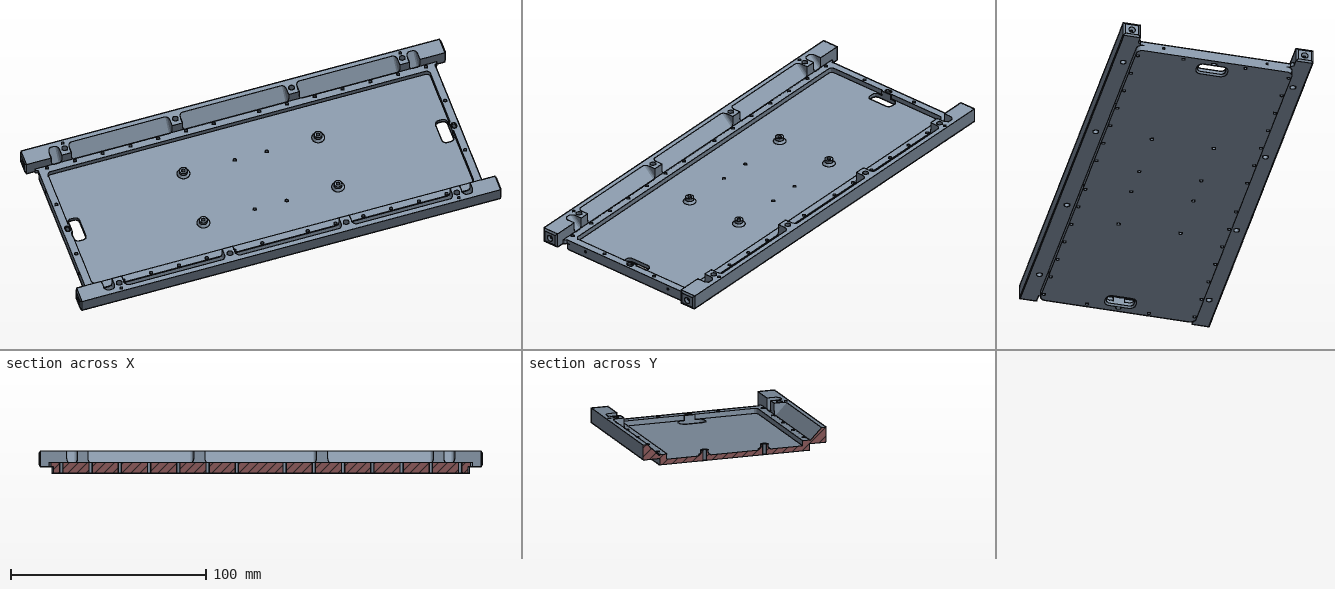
import cadquery as cq
import math

LENGTH = 227.0
WIDTH = 100.0
HEIGHT = 11.5

BEVEL_SLOPE = 45.0

RAIL_WIDTH = 9.0
RAIL_HEIGHT = 8.2
RAIL_BOTTOM = HEIGHT - RAIL_HEIGHT
RAIL_INNER_X = WIDTH / 2 - RAIL_WIDTH
RAIL_CENTRE_X = WIDTH / 2 - RAIL_WIDTH / 2
RAIL_LOWER_BEVEL = 0.5
END_BEVEL_INSET = 1.1
END_BEVEL_LENGTH = 0.7

END_HOLE_Z = RAIL_BOTTOM + RAIL_HEIGHT / 2 - 0.2
END_HOLE_DIAMETER = 1.1
END_HOLE_DEPTH = 6.8
END_HOLE_CONE_DIAMETER = 3.5

POCKET_EDGE_X = 47.5
POCKET_FILLET = 2.0
POCKET_SLOPE = 45.0
POCKET_SPANS = [(-99.5, -93.8), (-88.5, -34.3), (-28.5, 28.5), (34.3, 88.5), (93.8, 99.5)]

RAIL_HOLE_X = 44.7
RAIL_HOLE_DIAMETER = 3.0
RAIL_HOLE_Y = [31.3, 91.0]
PIN_HOLE_X = 48.1
PIN_HOLE_DIAMETER = 1.4
PIN_HOLE_DEPTH = 3.5

PLATE_LENGTH = 214.0
PLATE_WIDTH = 2 * RAIL_INNER_X
PLATE_TOP = 5.7
PLATE_CORNER_RADIUS = 3.2
JOINT_RADIUS = 1.4
TRAY_LENGTH = 206.1
TRAY_WIDTH = 74.0
TRAY_FLOOR = 3.0
TRAY_CORNER_RADIUS = 2.0

HAND_SLOT_WIDTH = 14.5
HAND_SLOT_DEPTH = 6.4
HAND_SLOT_OUTER_Y = 102.4
HAND_SLOT_RADIUS = 2.3
HAND_SLOT_BEVEL = 1.0

OVAL_Y = 104.2
OVAL_TOP_LENGTH = 3.6
OVAL_TOP_WIDTH = 2.7
OVAL_CONE_DEPTH = 0.5
LUG_WIDTH = 6.0

RIM_HOLE_X = 39.7
RIM_HOLE_FIRST_Y = 12.3
RIM_HOLE_PITCH = 15.0
RIM_HOLES_PER_QUARTER = 7
RIM_HOLE_DIAMETER = 1.5
SMALL_HOLE_X = 16.3
SMALL_HOLE_Y = [8.6, 104.9]
SMALL_HOLE_DIAMETER = 1.5

FACE_HOLE_X = 27.2
FACE_HOLE_Z = 3.5
FACE_HOLE_DIAMETER = 1.1
FACE_HOLE_DEPTH = 2.7

STANDOFF_X = 16.3
STANDOFF_Y = 36.3
STANDOFF_BASE_DIAMETER = 6.5
STANDOFF_DIAMETER = 4.0
STANDOFF_CONE_HEIGHT = 1.1
STANDOFF_HEIGHT = PLATE_TOP - TRAY_FLOOR
STANDOFF_HOLE_DIAMETER = 1.8


def block(x_size, y_size, z_low, z_high):
    """Upright block centred on the Z axis."""
    return cq.Workplane("XY", origin=(0, 0, z_low)).rect(x_size, y_size).extrude(z_high - z_low)


def four_ways(x, y):
    """The point (x, y) and its mirror images in both centre planes."""
    return [(sx * x, sy * y) for sx in (-1, 1) for sy in (-1, 1)]


def upright_cylinders(points, diameter, z_low, z_high):
    """Vertical cylinders at the given points."""
    plane = cq.Workplane("XY", origin=(0, 0, z_low))
    return plane.pushPoints(points).circle(diameter / 2).extrude(z_high - z_low)


def both_sides(solid):
    """A shape together with its mirror image across the YZ plane."""
    return solid.union(solid.mirror("YZ"))


def both_ends(solid):
    """A shape together with its mirror image across the XZ plane."""
    return solid.union(solid.mirror("XZ"))


def rail():
    """Plain +X rail with bevelled ends."""
    body_end_y = LENGTH / 2 - END_BEVEL_LENGTH
    body = block(RAIL_WIDTH, 2 * body_end_y, RAIL_BOTTOM, HEIGHT)
    end_taper = math.degrees(math.atan2(END_BEVEL_INSET, END_BEVEL_LENGTH))
    tip = (
        cq.Workplane("XZ", origin=(0, -body_end_y, RAIL_BOTTOM + RAIL_HEIGHT / 2))
        .rect(RAIL_WIDTH, RAIL_HEIGHT)
        .extrude(END_BEVEL_LENGTH, taper=end_taper)
    )
    return body.union(both_ends(tip)).translate((RAIL_CENTRE_X, 0, 0))


def rail_end_hole():
    """Hole with a conical mouth, bored into the -Y end of the +X rail."""
    cone_radius = END_HOLE_CONE_DIAMETER / 2
    bore_radius = END_HOLE_DIAMETER / 2
    profile = [
        (0, 0),
        (cone_radius, 0),
        (bore_radius, cone_radius - bore_radius),
        (bore_radius, END_HOLE_DEPTH),
        (0, END_HOLE_DEPTH),
    ]
    bore = cq.Workplane("XY").polyline(profile).close().revolve(360, (0, 0), (0, 1))
    return bore.translate((RAIL_CENTRE_X, -LENGTH / 2, END_HOLE_Z))


def rail_pocket(y_start, y_end):
    """Cutter with a flat floor that slopes down to the inner side and curves up at both ends."""
    reach = 2 * RAIL_WIDTH
    y_middle = (y_start + y_end) / 2
    cutter = cq.Workplane("XY").box(2 * reach, y_end - y_start, reach, centered=(True, True, False))
    cutter = cutter.edges("|X and <Z").fillet(POCKET_FILLET)
    cutter = cutter.rotate((0, 0, 0), (0, 1, 0), -POCKET_SLOPE)
    return cutter.translate((POCKET_EDGE_X, y_middle, HEIGHT))


def pocketed_rail():
    """The +X rail with a bevelled lower outer edge and its row of pockets."""
    bar = rail()
    bar = bar.edges("|Y and <Z and >X").chamfer(RAIL_LOWER_BEVEL)
    for y_start, y_end in POCKET_SPANS:
        bar = bar.cut(rail_pocket(y_start, y_end))
    return bar


def base_plate():
    """Plate with rounded outer corners."""
    return block(PLATE_WIDTH, PLATE_LENGTH, 0, PLATE_TOP).edges("|Z").fillet(PLATE_CORNER_RADIUS)


def joint_corners():
    """Square corners with a hollow fillet that join the plate to the rails."""
    half_width = PLATE_WIDTH / 2
    half_length = PLATE_LENGTH / 2
    corner = (
        cq.Workplane("XY", origin=(0, 0, RAIL_BOTTOM))
        .moveTo(half_width, half_length - PLATE_CORNER_RADIUS)
        .lineTo(half_width, half_length + JOINT_RADIUS)
        .radiusArc((half_width - JOINT_RADIUS, half_length), -JOINT_RADIUS)
        .lineTo(half_width - PLATE_CORNER_RADIUS, half_length)
        .lineTo(half_width - PLATE_CORNER_RADIUS, half_length - PLATE_CORNER_RADIUS)
        .close()
        .extrude(PLATE_TOP - RAIL_BOTTOM)
    )
    return both_ends(both_sides(corner))


def tray():
    """Recess in the plate, leaving a lug around each oval hole."""
    recess = block(TRAY_WIDTH, TRAY_LENGTH, TRAY_FLOOR, HEIGHT).edges("|Z").fillet(TRAY_CORNER_RADIUS)
    lug_length = TRAY_LENGTH / 2 - HAND_SLOT_OUTER_Y
    lug = block(LUG_WIDTH, lug_length, TRAY_FLOOR, HEIGHT)
    lug = lug.translate((0, HAND_SLOT_OUTER_Y + lug_length / 2, 0))
    return recess.cut(both_ends(lug))


def hand_slots():
    """Rounded slots through the tray floor, bevelled around the underside."""
    slot = block(HAND_SLOT_WIDTH, HAND_SLOT_DEPTH, 0, PLATE_TOP).edges("|Z").fillet(HAND_SLOT_RADIUS)
    bevel = (
        slot.faces("<Z")
        .wires()
        .toPending()
        .workplane()
        .offset2D(HAND_SLOT_BEVEL)
        .extrude(-HAND_SLOT_BEVEL, taper=BEVEL_SLOPE)
    )
    slot = slot.union(bevel)
    return both_ends(slot.translate((0, HAND_SLOT_OUTER_Y - HAND_SLOT_DEPTH / 2, 0)))


def oval_holes():
    """Oval through holes with a 45 degree countersink."""
    hole = cq.Workplane("XY", origin=(0, OVAL_Y, PLATE_TOP)).slot2D(OVAL_TOP_LENGTH, OVAL_TOP_WIDTH)
    cone = hole.extrude(-OVAL_CONE_DEPTH, taper=BEVEL_SLOPE)
    bore = (
        cq.Workplane("XY", origin=(0, OVAL_Y, 0))
        .slot2D(OVAL_TOP_LENGTH - 2 * OVAL_CONE_DEPTH, OVAL_TOP_WIDTH - 2 * OVAL_CONE_DEPTH)
        .extrude(PLATE_TOP)
    )
    return both_ends(cone.union(bore))


def standoffs():
    """Round posts on conical feet, level with the top of the plate."""
    base_radius = STANDOFF_BASE_DIAMETER / 2
    top_radius = STANDOFF_DIAMETER / 2
    profile = [
        (0, 0),
        (base_radius, 0),
        (top_radius, STANDOFF_CONE_HEIGHT),
        (top_radius, STANDOFF_HEIGHT),
        (0, STANDOFF_HEIGHT),
    ]
    standoff = cq.Workplane("XZ").polyline(profile).close().revolve(360, (0, 0), (0, 1))
    standoff = standoff.translate((STANDOFF_X, STANDOFF_Y, TRAY_FLOOR))
    return both_ends(both_sides(standoff))


def plate_holes():
    """Through holes in the rim, the tray floor and the standoffs."""
    holes = upright_cylinders(four_ways(STANDOFF_X, STANDOFF_Y), STANDOFF_HOLE_DIAMETER, 0, PLATE_TOP)
    for y in SMALL_HOLE_Y:
        holes = holes.union(
            upright_cylinders(four_ways(SMALL_HOLE_X, y), SMALL_HOLE_DIAMETER, 0, PLATE_TOP)
        )
    for index in range(RIM_HOLES_PER_QUARTER):
        y = RIM_HOLE_FIRST_Y + index * RIM_HOLE_PITCH
        holes = holes.union(upright_cylinders(four_ways(RIM_HOLE_X, y), RIM_HOLE_DIAMETER, 0, PLATE_TOP))
    return holes


def plate_end_holes():
    """Blind horizontal holes in the two end faces of the plate."""
    holes = (
        cq.Workplane("XZ", origin=(0, -PLATE_LENGTH / 2, 0))
        .pushPoints([(-FACE_HOLE_X, FACE_HOLE_Z), (FACE_HOLE_X, FACE_HOLE_Z)])
        .circle(FACE_HOLE_DIAMETER / 2)
        .extrude(-FACE_HOLE_DEPTH)
    )
    return both_ends(holes)


def rail_holes():
    """Through holes in the rails and the blind pin holes beside the outermost ones."""
    holes = upright_cylinders(
        four_ways(PIN_HOLE_X, RAIL_HOLE_Y[-1]), PIN_HOLE_DIAMETER, HEIGHT - PIN_HOLE_DEPTH, HEIGHT
    )
    for y in RAIL_HOLE_Y:
        holes = holes.union(upright_cylinders(four_ways(RAIL_HOLE_X, y), RAIL_HOLE_DIAMETER, 0, HEIGHT))
    return holes


rails = both_sides(pocketed_rail())
rails = rails.cut(rail_holes())
rails = rails.cut(both_ends(both_sides(rail_end_hole())))

plate = base_plate().union(joint_corners())
plate = plate.cut(tray())
plate = plate.union(standoffs())
plate = plate.cut(hand_slots())
plate = plate.cut(oval_holes())
plate = plate.cut(plate_holes())
plate = plate.cut(plate_end_holes())

result = plate.union(rails)